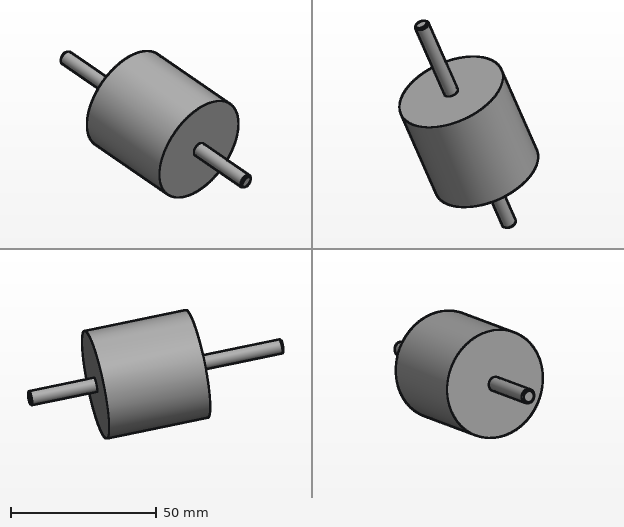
import cadquery as cq

shaft_length = 90.0
shaft_diameter = 5.0
roller_diameter = 38.0
roller_length = 36.0
roller_start = 30.4
end_chamfer = 0.5


def cylinder_along_x(start, length, diameter):
    return cq.Workplane("YZ", origin=(start, 0, 0)).circle(diameter / 2).extrude(length)


shaft = cylinder_along_x(0, shaft_length, shaft_diameter).faces("<X or >X").chamfer(end_chamfer)

roller = cylinder_along_x(roller_start, roller_length, roller_diameter)

result = shaft.union(roller)